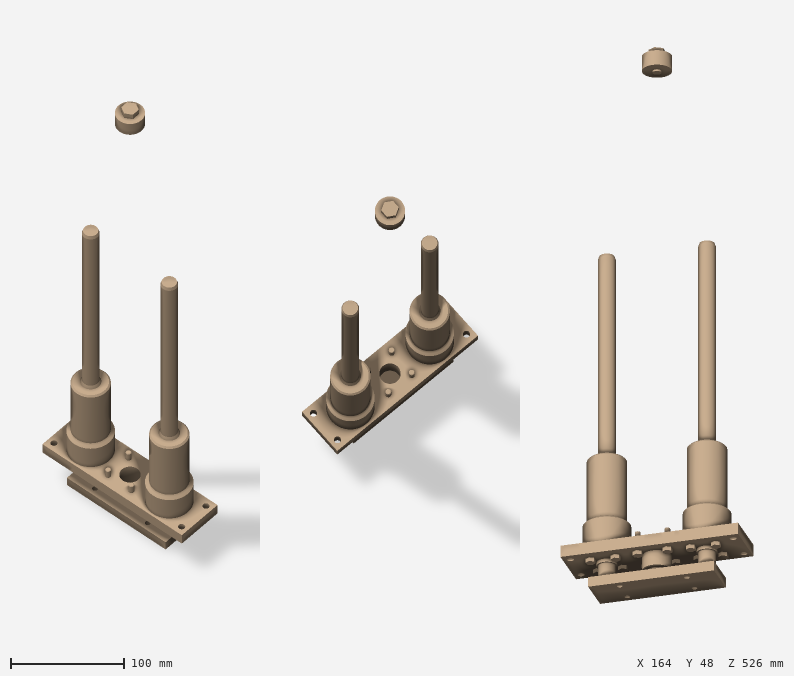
import cadquery as cq
import math


OVERALL_HEIGHT = 526.0

YOKE_LENGTH = 116.0
YOKE_WIDTH = 37.0
YOKE_THICKNESS = 9.5
YOKE_HOLE_DIAMETER = 5.2
YOKE_HOLE_X = 31.0
YOKE_HOLE_Y = 11.5

ROD_DIAMETER = 16.0
ROD_X = 46.5
ROD_TOP = 330.0
ROD_CHAMFER_HEIGHT = 3.0
ROD_CHAMFER_WIDTH = 1.0

NECK_DIAMETER = 17.0
NECK_HEIGHT = 6.5
SOCKET_DIAMETER = 27.0
SOCKET_PILOT_DIAMETER = 30.0
SOCKET_BORE_DIAMETER = 19.0
SOCKET_BORE_DEPTH = 21.0

CARRIAGE_LENGTH = 164.0
CARRIAGE_WIDTH = 48.0
CARRIAGE_THICKNESS = 11.0
CARRIAGE_BOTTOM = 30.0
CARRIAGE_TOP = CARRIAGE_BOTTOM + CARRIAGE_THICKNESS
CORNER_HOLE_DIAMETER = 6.5
CORNER_HOLE_X = 75.0
CORNER_HOLE_Y = 16.5

SLEEVE_BASE_DIAMETER = 43.0
SLEEVE_DIAMETER = 36.0
SLEEVE_SHOULDER_BOTTOM = 65.0
SLEEVE_SHOULDER_TOP = 68.5
SLEEVE_TOP = 130.5
SLEEVE_CHAMFER = 1.5
SEAL_DIAMETER = 19.0
SEAL_HEIGHT = 3.0

HEAD_ACROSS_FLATS = 8.0
HEAD_HEIGHT = 3.5
SCREW_DIAMETER = 5.2
SCREW_TIP_DIAMETER = 4.15
SCREW_TIP_HEIGHT = 0.5
SCREW_TOP = 49.5
SCREW_OFFSET = 13.5
SLEEVE_SCREW_OFFSET = 11.5

NUT_DIAMETER = SOCKET_DIAMETER
NUT_HEIGHT = 14.0
NUT_HEX_ACROSS_FLATS = 13.5
NUT_HEX_HEIGHT = 6.0
NUT_PILOT_DIAMETER = 8.0
NUT_PILOT_HEIGHT = 1.5

SIDES = (-1, 1)


def cylinder(diameter, bottom, top, x=0.0, y=0.0):
    """Upright cylinder between two heights."""
    return cq.Workplane("XY", origin=(x, y, bottom)).circle(diameter / 2).extrude(top - bottom)


def cone(bottom_diameter, top_diameter, bottom, top, x=0.0, y=0.0):
    """Upright truncated cone between two heights."""
    solid = cq.Solid.makeCone(
        bottom_diameter / 2, top_diameter / 2, top - bottom, pnt=cq.Vector(x, y, bottom)
    )
    return cq.Workplane(solid)


def hexagon(across_flats, bottom, top, x=0.0, y=0.0):
    """Upright hexagonal prism with two flats square to X."""
    across_corners = across_flats / math.cos(math.pi / 6)
    base = cq.Workplane("XY", origin=(x, y, bottom)).transformed(rotate=(0, 0, 30))
    return base.polygon(6, across_corners).extrude(top - bottom)


def plate(length, width, bottom, thickness):
    """Flat rectangular plate centred on the Z axis."""
    return cq.Workplane("XY", origin=(0, 0, bottom)).rect(length, width).extrude(thickness)


def four_points(x, y, centre_x=0.0):
    """Corners of a rectangle with the given half sizes."""
    return [(centre_x + i * x, j * y) for i in SIDES for j in SIDES]


def make_yoke():
    """Yoke plate with both rods and the coupling socket."""
    yoke = plate(YOKE_LENGTH, YOKE_WIDTH, 0, YOKE_THICKNESS)
    for x, y in four_points(YOKE_HOLE_X, YOKE_HOLE_Y):
        yoke = yoke.cut(cylinder(YOKE_HOLE_DIAMETER, 0, YOKE_THICKNESS, x, y))

    chamfer_bottom = ROD_TOP - ROD_CHAMFER_HEIGHT
    tip_diameter = ROD_DIAMETER - 2 * ROD_CHAMFER_WIDTH
    for side in SIDES:
        x = side * ROD_X
        yoke = yoke.union(cylinder(ROD_DIAMETER, YOKE_THICKNESS, chamfer_bottom, x))
        yoke = yoke.union(cone(ROD_DIAMETER, tip_diameter, chamfer_bottom, ROD_TOP, x))

    socket_bottom = YOKE_THICKNESS + NECK_HEIGHT
    yoke = yoke.union(cylinder(NECK_DIAMETER, YOKE_THICKNESS, socket_bottom))
    yoke = yoke.union(cylinder(SOCKET_DIAMETER, socket_bottom, CARRIAGE_BOTTOM))
    yoke = yoke.union(cylinder(SOCKET_PILOT_DIAMETER, CARRIAGE_BOTTOM, CARRIAGE_TOP))
    bore_bottom = CARRIAGE_TOP - SOCKET_BORE_DEPTH
    return yoke.cut(cylinder(SOCKET_BORE_DIAMETER, bore_bottom, CARRIAGE_TOP))


def make_sleeve(x):
    """Stepped guide sleeve with a conical seal on top and a flat seal under the carriage."""
    sleeve = cylinder(SLEEVE_BASE_DIAMETER, CARRIAGE_TOP, SLEEVE_SHOULDER_BOTTOM, x)
    sleeve = sleeve.union(
        cone(SLEEVE_BASE_DIAMETER, SLEEVE_DIAMETER, SLEEVE_SHOULDER_BOTTOM, SLEEVE_SHOULDER_TOP, x)
    )
    barrel = cylinder(SLEEVE_DIAMETER, SLEEVE_SHOULDER_TOP, SLEEVE_TOP, x)
    sleeve = sleeve.union(barrel.faces(">Z").chamfer(SLEEVE_CHAMFER))
    sleeve = sleeve.union(cone(SEAL_DIAMETER, ROD_DIAMETER, SLEEVE_TOP, SLEEVE_TOP + SEAL_HEIGHT, x))
    return sleeve.union(cylinder(SEAL_DIAMETER, CARRIAGE_BOTTOM - SEAL_HEIGHT, CARRIAGE_BOTTOM, x))


def make_head(x, y):
    """Hexagonal screw head under the carriage plate."""
    return hexagon(HEAD_ACROSS_FLATS, CARRIAGE_BOTTOM - HEAD_HEIGHT, CARRIAGE_BOTTOM, x, y)


def make_screw_end(x, y):
    """Screw end with a conical tip, standing above the carriage plate."""
    tip_bottom = SCREW_TOP - SCREW_TIP_HEIGHT
    shank = cylinder(SCREW_DIAMETER, CARRIAGE_TOP, tip_bottom, x, y)
    return shank.union(cone(SCREW_DIAMETER, SCREW_TIP_DIAMETER, tip_bottom, SCREW_TOP, x, y))


def make_carriage():
    """Carriage plate with sleeves and screws."""
    carriage = plate(CARRIAGE_LENGTH, CARRIAGE_WIDTH, CARRIAGE_BOTTOM, CARRIAGE_THICKNESS)
    for x, y in four_points(CORNER_HOLE_X, CORNER_HOLE_Y):
        carriage = carriage.cut(cylinder(CORNER_HOLE_DIAMETER, CARRIAGE_BOTTOM, CARRIAGE_TOP, x, y))

    for x, y in four_points(SCREW_OFFSET, SCREW_OFFSET):
        carriage = carriage.union(make_head(x, y)).union(make_screw_end(x, y))

    for side in SIDES:
        x = side * ROD_X
        carriage = carriage.union(make_sleeve(x))
        for head_x, head_y in four_points(SLEEVE_SCREW_OFFSET, SLEEVE_SCREW_OFFSET, x):
            carriage = carriage.union(make_head(head_x, head_y))
        carriage = carriage.cut(cylinder(ROD_DIAMETER, YOKE_THICKNESS, ROD_TOP, x))

    return carriage.cut(cylinder(SOCKET_PILOT_DIAMETER, CARRIAGE_BOTTOM, CARRIAGE_TOP))


def make_nut():
    """Round coupling nut with a hexagon on top and a pilot below."""
    hex_bottom = OVERALL_HEIGHT - NUT_HEX_HEIGHT
    body_bottom = hex_bottom - NUT_HEIGHT
    nut = cylinder(NUT_DIAMETER, body_bottom, hex_bottom)
    nut = nut.union(hexagon(NUT_HEX_ACROSS_FLATS, hex_bottom, OVERALL_HEIGHT))
    return nut.union(cylinder(NUT_PILOT_DIAMETER, body_bottom - NUT_PILOT_HEIGHT, body_bottom))


yoke = make_yoke()
carriage = make_carriage()
nut = make_nut()

result = cq.Compound.makeCompound([yoke.val(), carriage.val(), nut.val()])